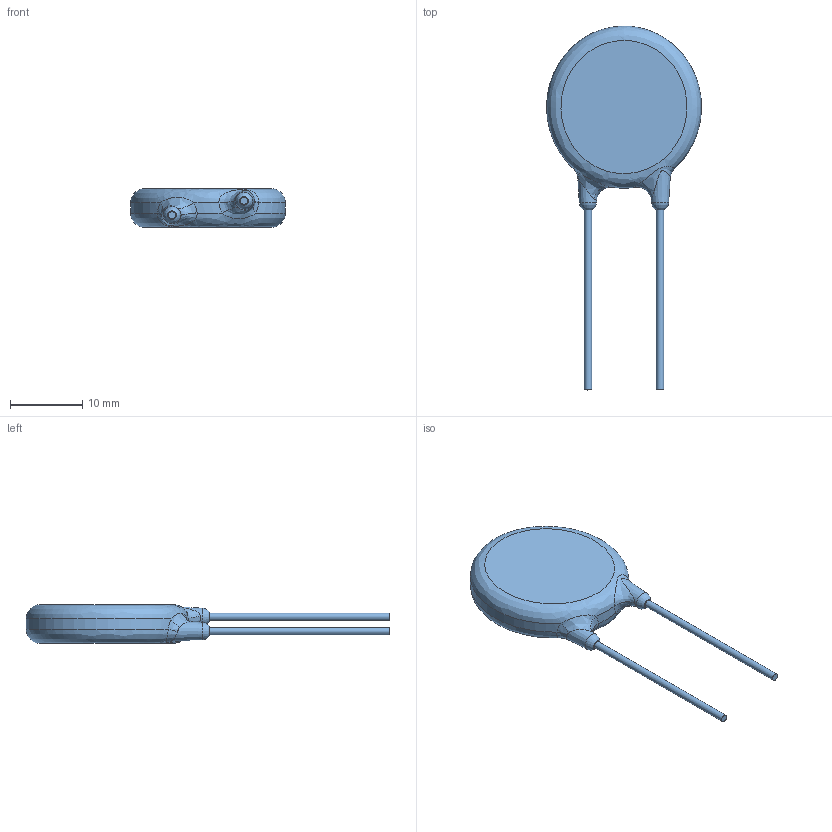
import cadquery as cq
import math

disc_width = 21.5
disc_length = 22.5
disc_thickness = 5.4
rim_radius = 2.0

lead_radius = 0.5
lead_pitch = 10.0
lead_stagger = 2.0
lead_length = 25.0

disc_top_to_sleeve_end = 25.5
shoulder_radius = 1.2
sleeve_draft_degrees = 3.5
tip_length = 1.0
tip_radius = 0.6
root_fillet = 2.0
sleeve_embed = 3.5

root_zone_margin = 0.6
root_zone_offset = 0.5

disc_top_y = disc_length / 2
disc_bottom_y = -disc_length / 2
sleeve_end_y = disc_top_y - disc_top_to_sleeve_end
shoulder_y = sleeve_end_y + tip_length

sleeve_root_y = disc_bottom_y + sleeve_embed
sleeve_taper_length = sleeve_root_y - shoulder_y
root_radius = shoulder_radius + sleeve_taper_length * math.tan(math.radians(sleeve_draft_degrees))

root_zone_front_y = disc_bottom_y + root_zone_offset

lead_axes = [(side * lead_pitch / 2, side * lead_stagger / 2) for side in (-1, 1)]


def make_disc():
    """Elliptical disc with fully rounded rims on both faces."""
    disc = cq.Workplane("XY", origin=(0, 0, -disc_thickness / 2))
    disc = disc.ellipse(disc_width / 2, disc_length / 2).extrude(disc_thickness)
    return disc.faces("|Z").edges().fillet(rim_radius)


def make_sleeve(x, z):
    """Drafted sleeve with a rounded tip, revolved about the lead axis."""
    profile = (
        cq.Workplane("XY")
        .moveTo(0, sleeve_root_y)
        .lineTo(root_radius, sleeve_root_y)
        .lineTo(shoulder_radius, shoulder_y)
        .tangentArcPoint((tip_radius, sleeve_end_y), relative=False)
        .lineTo(0, sleeve_end_y)
        .close()
    )
    return profile.revolve(360, (0, 0, 0), (0, 1, 0)).translate((x, 0, z))


def root_zone(x):
    """Box that holds the centres of the edges where one sleeve meets the disc."""
    half_width = shoulder_radius + root_zone_margin
    return cq.selectors.BoxSelector(
        (x - half_width, root_zone_front_y, -disc_thickness),
        (x + half_width, sleeve_root_y, disc_thickness),
    )


def make_body():
    """Disc and both sleeves as one solid, blended where the sleeves leave the disc."""
    body = make_disc()
    for x, z in lead_axes:
        body = body.union(make_sleeve(x, z))
    for x, z in lead_axes:
        body = body.edges(root_zone(x)).fillet(root_fillet)
    return body


def make_lead(x, z):
    """Round wire from the sleeve tip to the free end."""
    lead = cq.Workplane("XZ", origin=(x, sleeve_end_y, z)).circle(lead_radius)
    return lead.extrude(lead_length)


body = make_body()
leads = [make_lead(x, z) for x, z in lead_axes]
result = cq.Compound.makeCompound([body.val(), *[lead.val() for lead in leads]])